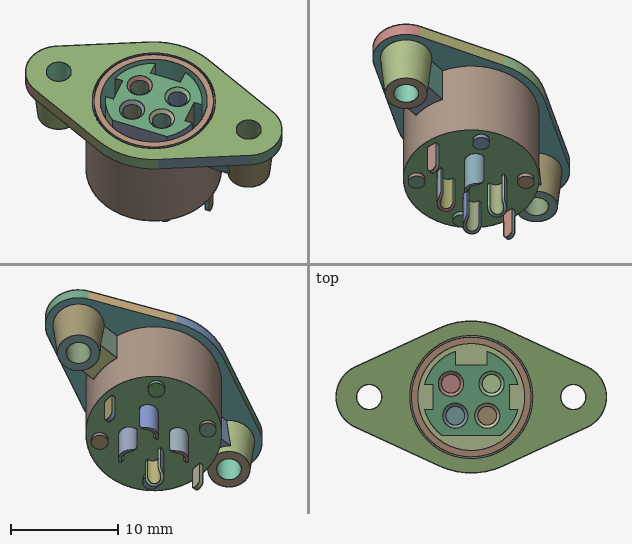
import cadquery as cq
import math


flange_length = 25.2
flange_width = 14.15
flange_thickness = 1.39
flange_end_radius = 3.1
mount_x = flange_length / 2 - flange_end_radius
mount_hole_dia = 2.32

body_dia = 12.65
body_depth = 9.95

boss_top_dia = 4.79
boss_bottom_dia = 3.93
boss_bottom_z = -6.07
rib_width = 3.22
rib_bottom_z = -5.25

groove_outer_dia = 11.45
groove_inner_dia = 11.13
groove_depth = 0.25
socket_dia = 9.95
socket_depth = 7.05
insert_dia = 9.0
insert_flat_y = -3.58
key_width = 2.97
key_floor_y = 3.0
side_key_width = 2.37
side_key_floor_x = 3.58

upper_contact_x = 1.9
upper_contact_y = 1.23
lower_contact_x = 1.49
lower_contact_y = -1.75
contact_hole_dia = 1.75
contact_hole_depth = 6.05
lead_in_width = 0.3
lead_in_depth = 0.33

cup_tip_z = -14.0
cup_dia = 2.05
cup_bore_dia = 1.45
blade_tip_z = -13.38
blade_thickness = 0.4
blade_width = 1.0
blade_x = 5.55
standoff_dia = 1.55
standoff_height = 0.45
standoff_x = 3.25
standoff_y = 3.9

body_bottom_z = -body_depth
root_overlap = 0.25
root_z = body_bottom_z + root_overlap


def disc(diameter, top_z, bottom_z, x=0, y=0):
    """Vertical cylinder between two heights."""
    return (
        cq.Workplane("XY", origin=(x, y, bottom_z))
        .circle(diameter / 2)
        .extrude(top_z - bottom_z)
    )


def block(x_size, y_size, top_z, bottom_z, x=0, y=0):
    """Upright box centred on (x, y) between two heights."""
    return (
        cq.Workplane("XY", origin=(x, y, bottom_z))
        .rect(x_size, y_size)
        .extrude(top_z - bottom_z)
    )


def make_flange():
    """Diamond plate: a large middle arc and two end arcs joined by tangent lines."""
    middle_radius = flange_width / 2
    slope = math.asin((middle_radius - flange_end_radius) / mount_x)
    unit_x = math.sin(slope)
    unit_y = math.cos(slope)
    middle_x = middle_radius * unit_x
    middle_y = middle_radius * unit_y
    end_x = mount_x + flange_end_radius * unit_x
    end_y = flange_end_radius * unit_y
    return (
        cq.Workplane("XY", origin=(0, 0, -flange_thickness))
        .moveTo(-middle_x, middle_y)
        .threePointArc((0, middle_radius), (middle_x, middle_y))
        .lineTo(end_x, end_y)
        .threePointArc((flange_length / 2, 0), (end_x, -end_y))
        .lineTo(middle_x, -middle_y)
        .threePointArc((0, -middle_radius), (-middle_x, -middle_y))
        .lineTo(-end_x, -end_y)
        .threePointArc((-flange_length / 2, 0), (-end_x, end_y))
        .close()
        .extrude(flange_thickness)
    )


def make_boss(x):
    """Boss tapering downward from the underside of the flange."""
    return (
        cq.Workplane("XY", origin=(x, 0, -flange_thickness))
        .circle(boss_top_dia / 2)
        .workplane(offset=boss_bottom_z + flange_thickness)
        .circle(boss_bottom_dia / 2)
        .loft()
    )


def make_insert():
    """Contact carrier: a disc with a flat, one wide key notch and two side notches."""
    radius = insert_dia / 2
    insert = disc(insert_dia, 0, -socket_depth)
    flat_height = radius + insert_flat_y
    flat_center_y = insert_flat_y - flat_height / 2
    insert = insert.cut(block(insert_dia, flat_height, 0, -socket_depth, y=flat_center_y))
    key_height = radius - key_floor_y
    insert = insert.cut(block(key_width, key_height, 0, -socket_depth, y=key_floor_y + key_height / 2))
    side_depth = radius - side_key_floor_x
    side_x = side_key_floor_x + side_depth / 2
    for side in (-1, 1):
        insert = insert.cut(block(side_depth, side_key_width, 0, -socket_depth, x=side * side_x))
    return insert


def make_contact_hole(x, y):
    """Blind contact hole with a conical lead-in at the mating face."""
    hole_radius = contact_hole_dia / 2
    return (
        cq.Workplane("XZ", origin=(x, y, 0))
        .moveTo(0, 0)
        .lineTo(hole_radius + lead_in_width, 0)
        .lineTo(hole_radius, -lead_in_depth)
        .lineTo(hole_radius, -contact_hole_depth)
        .lineTo(0, -contact_hole_depth)
        .close()
        .revolve()
    )


def make_solder_cup(x, y, opening_angle):
    """Half tube split along its axis, with its split face curving away to the tip.

    The opening faces +X when opening_angle is zero.
    """
    radius = cup_dia / 2
    tube = disc(cup_dia, root_z, cup_tip_z).cut(disc(cup_bore_dia, body_bottom_z, cup_tip_z))
    bend = radius * math.sqrt(0.5)
    bend_center_z = cup_tip_z + radius
    side_outline = (
        cq.Workplane("XZ", origin=(0, radius, 0))
        .moveTo(0, root_z)
        .lineTo(0, bend_center_z)
        .threePointArc((bend - radius, bend_center_z - bend), (-radius, cup_tip_z))
        .lineTo(-radius, root_z)
        .close()
        .extrude(cup_dia)
    )
    cup = tube.intersect(side_outline)
    return cup.rotate((0, 0, 0), (0, 0, 1), opening_angle).translate((x, y, 0))


def make_blade(x):
    """Flat contact blade with a fully rounded tip."""
    half_width = blade_width / 2
    shoulder_z = blade_tip_z + half_width
    return (
        cq.Workplane("YZ", origin=(x - blade_thickness / 2, 0, 0))
        .moveTo(-half_width, root_z)
        .lineTo(-half_width, shoulder_z)
        .threePointArc((0, blade_tip_z), (half_width, shoulder_z))
        .lineTo(half_width, root_z)
        .close()
        .extrude(blade_thickness)
    )


result = make_flange().union(disc(body_dia, 0, body_bottom_z))
result = result.union(block(2 * mount_x, rib_width, -flange_thickness, rib_bottom_z))
for side in (-1, 1):
    result = result.union(make_boss(side * mount_x))
for side in (-1, 1):
    result = result.cut(disc(mount_hole_dia, 0, boss_bottom_z, x=side * mount_x))

groove = disc(groove_outer_dia, 0, -groove_depth).cut(disc(groove_inner_dia, 0, -groove_depth))
result = result.cut(groove)
result = result.cut(disc(socket_dia, 0, -socket_depth).cut(make_insert()))

for side in (-1, 1):
    result = result.cut(make_contact_hole(side * upper_contact_x, upper_contact_y))
    result = result.cut(make_contact_hole(side * lower_contact_x, lower_contact_y))
    result = result.union(make_solder_cup(side * upper_contact_x, upper_contact_y, -90))
    lower_opening_angle = 0 if side < 0 else 180
    result = result.union(make_solder_cup(side * lower_contact_x, lower_contact_y, lower_opening_angle))
    result = result.union(make_blade(side * blade_x))

for x in (-standoff_x, standoff_x):
    for y in (-standoff_y, standoff_y):
        result = result.union(disc(standoff_dia, root_z, body_bottom_z - standoff_height, x, y))